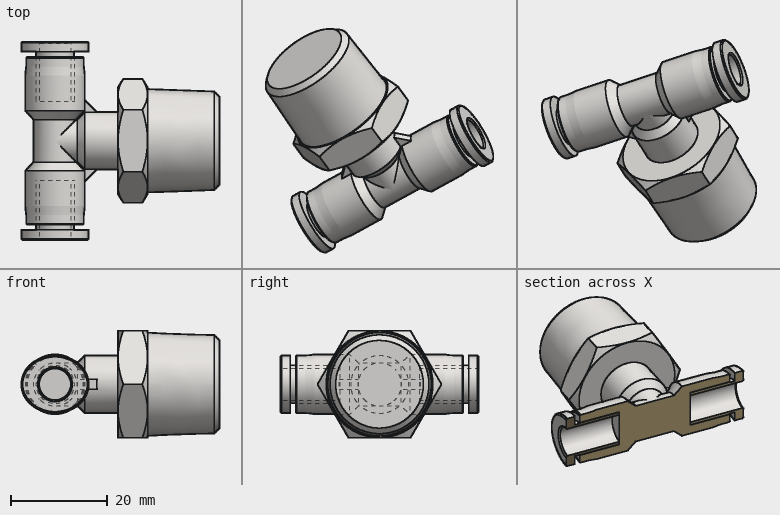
import cadquery as cq
import math


OVERALL = 41.1
RUN_HALF = OVERALL / 2
COLLAR_WIDTH = 13.97
COLLAR_HEIGHT = 11.9
STUD_END_X = OVERALL - COLLAR_WIDTH / 2

WAIST_RADIUS = 4.5
BARREL_RADIUS = 12.4 / 2
RIM_RADIUS = 12.0 / 2
SHOULDER_START_Y = 4.4
SHOULDER_END_Y = 6.25
TAPER_START_Y = 13.5
TAPER_END_Y = 15.4
RIM_END_Y = 17.4
RIM_CHAMFER = 0.25
SOCKET_FLOOR_Y = 8.2

NECK_RADIUS = 12.0 / 2
NECK_CONE_START_X = 4.6
NECK_CONE_END_X = 6.15
GUSSET_THICKNESS = 2.0
GUSSET_REACH = 14.65

SLEEVE_RADIUS = 7.9 / 2
BORE_RADIUS = 6.55 / 2
BORE_CHAMFER = 0.33
COLLAR_THICKNESS = 2.1
COLLAR_CHAMFER = 0.3

HEX_FLATS = 22.25
HEX_CORNER_RADIUS = HEX_FLATS / math.sqrt(3)
HEX_START_X = 13.03
HEX_END_X = 19.2
HEX_FACE_RADIUS = 11.05
HEX_CHAMFER_LENGTH = 1.1
THREAD_START_RADIUS = 10.73
THREAD_TIP_RADIUS = 10.25
THREAD_CHAMFER = 1.15


def revolve_about_x(points):
    """Turn a closed XY profile around the X axis."""
    return cq.Workplane("XY").polyline(points).close().revolve(360, (0, 0, 0), (1, 0, 0))


def revolve_about_y(points):
    """Turn a closed XY profile around the Y axis."""
    return cq.Workplane("XY").polyline(points).close().revolve(360, (0, 0, 0), (0, 1, 0))


def make_run_half():
    """One half of the tee run, with a blind socket for the release sleeve."""
    return revolve_about_y([
        (0, 0),
        (WAIST_RADIUS, 0),
        (WAIST_RADIUS, SHOULDER_START_Y),
        (BARREL_RADIUS, SHOULDER_END_Y),
        (BARREL_RADIUS, TAPER_START_Y),
        (RIM_RADIUS, TAPER_END_Y),
        (RIM_RADIUS, RIM_END_Y - RIM_CHAMFER),
        (RIM_RADIUS - RIM_CHAMFER, RIM_END_Y),
        (SLEEVE_RADIUS, RIM_END_Y),
        (SLEEVE_RADIUS, SOCKET_FLOOR_Y),
        (0, SOCKET_FLOOR_Y),
    ])


def make_branch():
    """Branch of the tee, widening to the neck that meets the stud."""
    return revolve_about_x([
        (0, 0),
        (0, WAIST_RADIUS),
        (NECK_CONE_START_X, WAIST_RADIUS),
        (NECK_CONE_END_X, NECK_RADIUS),
        (HEX_START_X, NECK_RADIUS),
        (HEX_START_X, 0),
    ])


def make_gusset():
    """Triangular web in the corner between the +Y run and the branch."""
    root = WAIST_RADIUS
    return (
        cq.Workplane("XY")
        .polyline([
            (root, root),
            (GUSSET_REACH - root, root),
            (root, GUSSET_REACH - root),
        ])
        .close()
        .extrude(GUSSET_THICKNESS / 2, both=True)
    )


def make_tee():
    """Tee body: two run halves, the branch and two gussets."""
    half = make_run_half().union(make_gusset())
    return half.union(half.mirror("XZ")).union(make_branch())


def make_sleeve():
    """Release sleeve in the +Y socket, with an oval push collar."""
    tube = (
        cq.Workplane("XZ", origin=(0, SOCKET_FLOOR_Y, 0))
        .circle(SLEEVE_RADIUS)
        .extrude(-(RUN_HALF - SOCKET_FLOOR_Y))
    )
    collar = (
        cq.Workplane("XZ", origin=(0, RUN_HALF - COLLAR_THICKNESS, 0))
        .ellipse(COLLAR_WIDTH / 2, COLLAR_HEIGHT / 2)
        .extrude(-COLLAR_THICKNESS)
        .faces(">Y").chamfer(COLLAR_CHAMFER)
    )
    bore = revolve_about_y([
        (0, SOCKET_FLOOR_Y),
        (BORE_RADIUS, SOCKET_FLOOR_Y),
        (BORE_RADIUS, RUN_HALF - BORE_CHAMFER),
        (BORE_RADIUS + BORE_CHAMFER, RUN_HALF),
        (0, RUN_HALF),
    ])
    return tube.union(collar).cut(bore)


def make_hex():
    """Hexagon with flats facing +Z and -Z and chamfered corners on both faces."""
    blank = (
        cq.Workplane("YZ", origin=(HEX_START_X, 0, 0))
        .polygon(6, 2 * HEX_CORNER_RADIUS)
        .extrude(HEX_END_X - HEX_START_X)
    )
    envelope = revolve_about_x([
        (HEX_START_X, 0),
        (HEX_START_X, HEX_FACE_RADIUS),
        (HEX_START_X + HEX_CHAMFER_LENGTH, HEX_CORNER_RADIUS),
        (HEX_END_X - HEX_CHAMFER_LENGTH, HEX_CORNER_RADIUS),
        (HEX_END_X, HEX_FACE_RADIUS),
        (HEX_END_X, 0),
    ])
    return blank.intersect(envelope)


def make_stud():
    """Hexagon and tapered thread, the thread shown as a plain cone."""
    thread = revolve_about_x([
        (HEX_END_X, 0),
        (HEX_END_X, THREAD_START_RADIUS),
        (STUD_END_X - THREAD_CHAMFER, THREAD_TIP_RADIUS),
        (STUD_END_X, THREAD_TIP_RADIUS - THREAD_CHAMFER),
        (STUD_END_X, 0),
    ])
    return make_hex().union(thread)


tee = make_tee()
stud = make_stud()
sleeves = [make_sleeve().rotate((0, 0, 0), (0, 0, 1), angle).solids().val() for angle in (0, 180)]

result = cq.Compound.makeCompound([tee.solids().val(), stud.solids().val(), *sleeves])